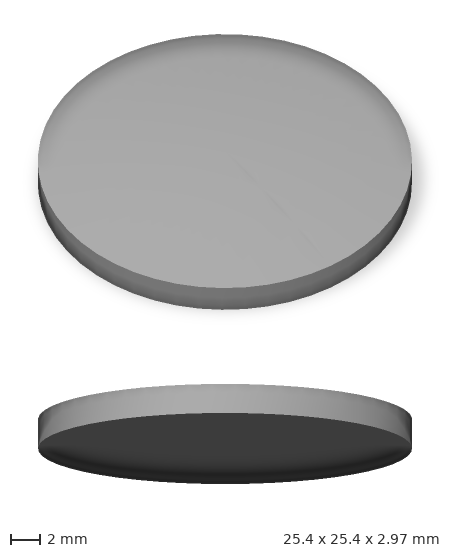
import cadquery as cq

diameter = 25.4
total_height = 2.97
edge_height = 2.0

radius = diameter / 2
cap_height = total_height - edge_height
sphere_radius = (radius**2 + cap_height**2) / (2 * cap_height)
sphere_center_z = total_height - sphere_radius

arc_mid_x = radius / 2
arc_mid_z = sphere_center_z + (sphere_radius**2 - arc_mid_x**2) ** 0.5

half_section = (
    cq.Workplane("XZ")
    .lineTo(radius, 0)
    .lineTo(radius, edge_height)
    .threePointArc((arc_mid_x, arc_mid_z), (0, total_height))
    .close()
)

result = half_section.revolve(360, (0, 0, 0), (0, 1, 0))